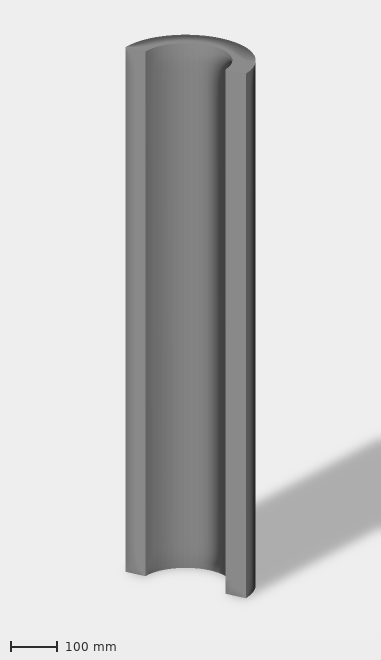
import cadquery as cq

length = 1202.0
outer_diameter = 300.0
inner_diameter = 200.0

outer_radius = outer_diameter / 2
inner_radius = inner_diameter / 2

half_ring = (
    cq.Workplane("XY")
    .moveTo(-outer_radius, 0)
    .threePointArc((0, outer_radius), (outer_radius, 0))
    .lineTo(inner_radius, 0)
    .threePointArc((0, inner_radius), (-inner_radius, 0))
    .close()
)

result = half_ring.extrude(length)